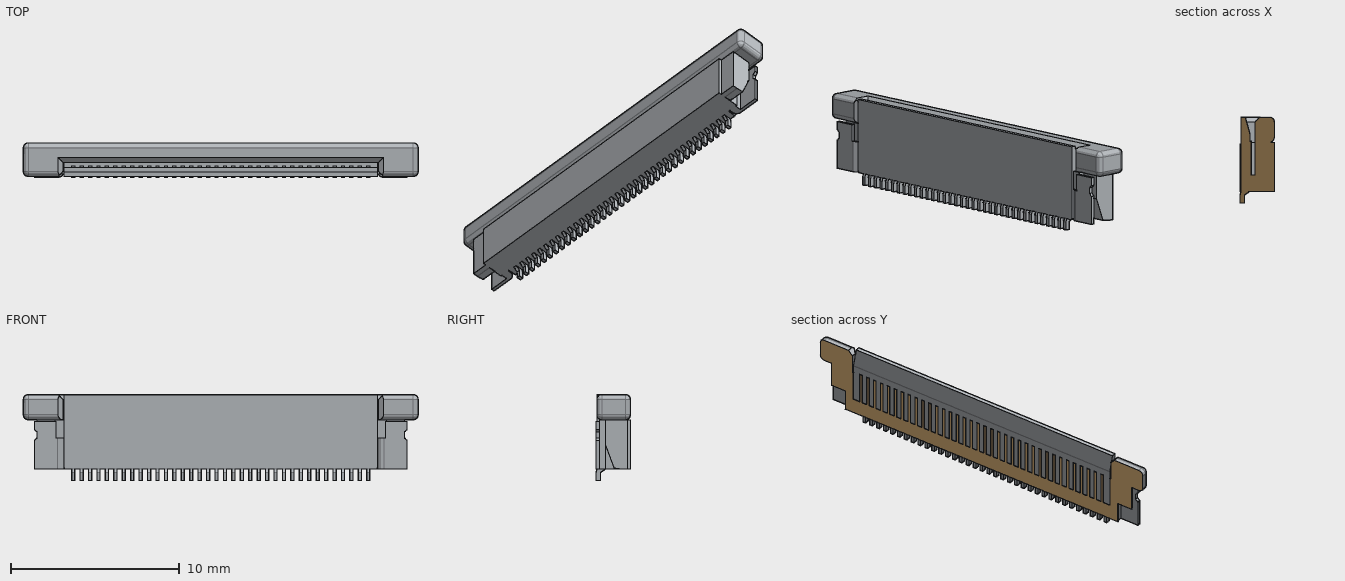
import cadquery as cq


CAP_LENGTH = 23.43
CAP_DEPTH = 2.0
CAP_HEIGHT = 1.5
CAP_ROUND = 0.3
TOP_Z = 4.43
OVERALL_HEIGHT = 5.11
CAP_BOTTOM_Z = TOP_Z - CAP_HEIGHT
MOUTH_HALF_LENGTH = 9.36
MOUTH_BACK_Y = -1.16
MOUTH_BEVEL = 0.29

PLATE_HALF_LENGTH = 9.3
PLATE_FRONT_Y = -CAP_DEPTH
PLATE_BACK_Y = -1.45
PLATE_LIP = 0.27
LEAD_IN_DEPTH = 1.0
PLATE_CORNER_BEVEL = 0.08
SLOT_FLOOR_Z = 1.0

CORE_HALF_LENGTH = 9.9
CHEEK_HALF_LENGTH = 9.82
CHEEK_FRONT_Y = -1.85
END_BLOCK_HALF_LENGTH = 10.91
END_BLOCK_BACK_Y = -0.18
END_BLOCK_FRONT_Y = -1.49
END_SLOPE_TOP_Z = 1.45
END_SLOPE_FOOT_Y = -0.97
END_SLOPE_FOOT_Z = 0.07
END_FOOT_Y = -0.49

CONTACT_COUNT = 36
CONTACT_PITCH = 0.5
CONTACT_WIDTH = 0.2
CONTACT_FRONT_Y = -2.05
CONTACT_THICKNESS = 0.28
CONTACT_TIP_Z = TOP_Z - OVERALL_HEIGHT
CONTACT_BEND_Z = -0.2
CONTACT_ROOT_Y = END_BLOCK_FRONT_Y
CONTACT_RIB = 0.07
CONTACT_RIB_TOP_Z = 3.0

NAIL_FRONT_Y = CONTACT_FRONT_Y
NAIL_OUTER_X = 11.06
NAIL_INNER_X = PLATE_HALF_LENGTH
NAIL_TOP_Z = 2.83
NAIL_BEND_RADIUS = 0.37
NAIL_STEP_X = 9.77
NAIL_STEP_Z = 1.84
NAIL_NOTCH_BOTTOM_Z = 1.7
NAIL_NOTCH_TOP_Z = 2.36
NAIL_NOTCH_DEPTH = 0.16


def box(x_range, y_range, z_range):
    """Block spanning the given coordinate ranges."""
    sizes = [high - low for low, high in (x_range, y_range, z_range)]
    corner = (x_range[0], y_range[0], z_range[0])
    return cq.Workplane("XY").box(*sizes, centered=False).translate(corner)


def symmetric_box(half_length, y_range, z_range):
    """Block centred on X = 0."""
    return box((-half_length, half_length), y_range, z_range)


def extrude_along_x(outline, half_length):
    """Prism with a (Y, Z) outline, centred on X = 0."""
    return cq.Workplane("YZ").polyline(outline).close().extrude(half_length, both=True)


def make_cap():
    """Rounded bar with a bevelled mouth open to the front."""
    cap = symmetric_box(CAP_LENGTH / 2, (-CAP_DEPTH, 0), (CAP_BOTTOM_Z, TOP_Z)).edges().fillet(CAP_ROUND)
    mouth = symmetric_box(MOUTH_HALF_LENGTH, (-CAP_DEPTH, MOUTH_BACK_Y), (CAP_BOTTOM_Z, TOP_Z))
    top_bevel = (
        cq.Workplane("XY", origin=(0, 0, TOP_Z))
        .rect(2 * (MOUTH_HALF_LENGTH + MOUTH_BEVEL), 2 * (CAP_DEPTH + MOUTH_BACK_Y + MOUTH_BEVEL))
        .workplane(offset=-MOUTH_BEVEL)
        .rect(2 * MOUTH_HALF_LENGTH, 2 * (CAP_DEPTH + MOUTH_BACK_Y))
        .loft(ruled=True)
        .translate((0, -CAP_DEPTH, 0))
    )
    front_bevel = (
        cq.Workplane("XY", origin=(0, 0, CAP_BOTTOM_Z))
        .polyline([
            (-MOUTH_HALF_LENGTH - MOUTH_BEVEL, -CAP_DEPTH),
            (MOUTH_HALF_LENGTH + MOUTH_BEVEL, -CAP_DEPTH),
            (MOUTH_HALF_LENGTH, -CAP_DEPTH + MOUTH_BEVEL),
            (-MOUTH_HALF_LENGTH, -CAP_DEPTH + MOUTH_BEVEL),
        ])
        .close()
        .extrude(CAP_HEIGHT)
    )
    return cap.cut(mouth).cut(top_bevel).cut(front_bevel)


def make_plate():
    """Front plate with a lead-in slope on its slot side and bevelled bottom corners."""
    outline = [
        (PLATE_FRONT_Y, 0),
        (PLATE_FRONT_Y, TOP_Z),
        (PLATE_FRONT_Y + PLATE_LIP, TOP_Z),
        (PLATE_BACK_Y, TOP_Z - LEAD_IN_DEPTH),
        (PLATE_BACK_Y, 0),
    ]
    plate = extrude_along_x(outline, PLATE_HALF_LENGTH)
    return plate.edges("|Y and <Z").chamfer(PLATE_CORNER_BEVEL)


def make_housing():
    """Core and stepped end blocks under the cap, with the cable slot cut into the core."""
    core = symmetric_box(CORE_HALF_LENGTH, (END_BLOCK_FRONT_Y, 0), (0, CAP_BOTTOM_Z))
    blocks = extrude_along_x(
        [
            (END_BLOCK_BACK_Y, 0),
            (END_BLOCK_BACK_Y, CAP_BOTTOM_Z),
            (END_BLOCK_FRONT_Y, CAP_BOTTOM_Z),
            (END_BLOCK_FRONT_Y, END_SLOPE_TOP_Z),
            (END_SLOPE_FOOT_Y, END_SLOPE_FOOT_Z),
            (END_FOOT_Y, 0),
        ],
        END_BLOCK_HALF_LENGTH,
    )
    slot = symmetric_box(PLATE_HALF_LENGTH, (PLATE_BACK_Y, MOUTH_BACK_Y), (SLOT_FLOOR_Z, TOP_Z))
    return core.union(blocks).cut(slot)


def make_contacts():
    """Row of bent solder tails, each with a contact rib on the slot side of the plate."""
    tail_outline = [
        (CONTACT_ROOT_Y, 0),
        (PLATE_FRONT_Y, 0),
        (CONTACT_FRONT_Y, CONTACT_BEND_Z),
        (CONTACT_FRONT_Y, CONTACT_TIP_Z),
        (CONTACT_FRONT_Y + CONTACT_THICKNESS, CONTACT_TIP_Z),
        (CONTACT_FRONT_Y + CONTACT_THICKNESS, CONTACT_BEND_Z),
    ]
    tail = extrude_along_x(tail_outline, CONTACT_WIDTH / 2)
    rib = symmetric_box(
        CONTACT_WIDTH / 2,
        (PLATE_BACK_Y, PLATE_BACK_Y + CONTACT_RIB),
        (SLOT_FLOOR_Z, CONTACT_RIB_TOP_Z),
    )
    first_x = -CONTACT_PITCH * (CONTACT_COUNT - 1) / 2
    solids = []
    for index in range(CONTACT_COUNT):
        place = (first_x + index * CONTACT_PITCH, 0, 0)
        solids.append(tail.val().translate(place))
        solids.append(rib.val().translate(place))
    return solids


def make_nail():
    """Right-hand solder nail on its housing cheek; the inner edge is rounded back against the plate."""
    sheet = box((NAIL_INNER_X, NAIL_OUTER_X), (NAIL_FRONT_Y, CHEEK_FRONT_Y), (0, NAIL_TOP_Z))
    lower_cheek = box(
        (NAIL_INNER_X, CHEEK_HALF_LENGTH), (CHEEK_FRONT_Y, END_BLOCK_FRONT_Y), (0, NAIL_STEP_Z)
    )
    upper_cheek = box(
        (NAIL_INNER_X, CHEEK_HALF_LENGTH), (CHEEK_FRONT_Y, END_BLOCK_FRONT_Y), (NAIL_STEP_Z, CAP_BOTTOM_Z)
    )
    step = box((NAIL_INNER_X, NAIL_STEP_X), (NAIL_FRONT_Y, CHEEK_FRONT_Y), (NAIL_STEP_Z, NAIL_TOP_Z))
    notch_floor_x = NAIL_OUTER_X - NAIL_NOTCH_DEPTH
    notch = (
        cq.Workplane("XZ", origin=(0, CHEEK_FRONT_Y, 0))
        .polyline([
            (NAIL_OUTER_X, NAIL_NOTCH_BOTTOM_Z),
            (notch_floor_x, NAIL_NOTCH_BOTTOM_Z + NAIL_NOTCH_DEPTH),
            (notch_floor_x, NAIL_NOTCH_TOP_Z - NAIL_NOTCH_DEPTH),
            (NAIL_OUTER_X, NAIL_NOTCH_TOP_Z),
        ])
        .close()
        .extrude(CHEEK_FRONT_Y - NAIL_FRONT_Y)
    )
    stepped_sheet = sheet.cut(step).cut(notch).union(lower_cheek)
    rounded = stepped_sheet.faces("<X").edges("|Z and <Y").fillet(NAIL_BEND_RADIUS)
    return rounded.union(upper_cheek)


def join_parts():
    """Single solid made of all the parts, with a nail at each end."""
    nail = make_nail()
    body = make_cap().union(make_plate()).union(make_housing()).union(nail).union(nail.mirror("YZ"))
    return cq.Workplane(body.val().fuse(*make_contacts()).clean())


result = join_parts()